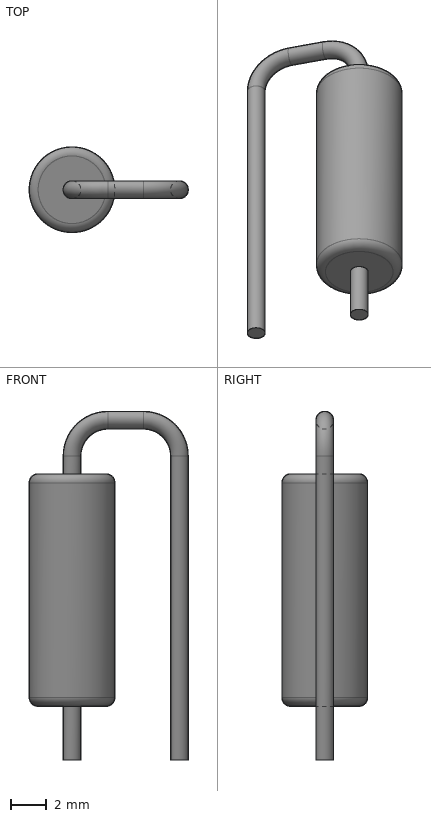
import cadquery as cq

overall_height = 19.5
lead_diameter = 1.0
lead_pitch = 6.0
bend_radius = 2.0
body_diameter = 4.8
body_height = 13.0
body_bottom = 3.0
body_edge_radius = 0.5

crest_height = overall_height - lead_diameter / 2
bend_start = crest_height - bend_radius


def make_body():
    """Cylinder with rounded rims, centred on the Z axis."""
    body = cq.Workplane("XY").workplane(offset=body_bottom).circle(body_diameter / 2).extrude(body_height)
    return body.edges("%CIRCLE").fillet(body_edge_radius)


def make_lead():
    """Round wire running up through the body, over two bends and back down."""
    path = (
        cq.Workplane("XZ")
        .lineTo(0, bend_start)
        .tangentArcPoint((bend_radius, crest_height), relative=False)
        .lineTo(lead_pitch - bend_radius, crest_height)
        .tangentArcPoint((lead_pitch, bend_start), relative=False)
        .lineTo(lead_pitch, 0)
    )
    return cq.Workplane("XY").circle(lead_diameter / 2).sweep(path)


result = make_body().union(make_lead())